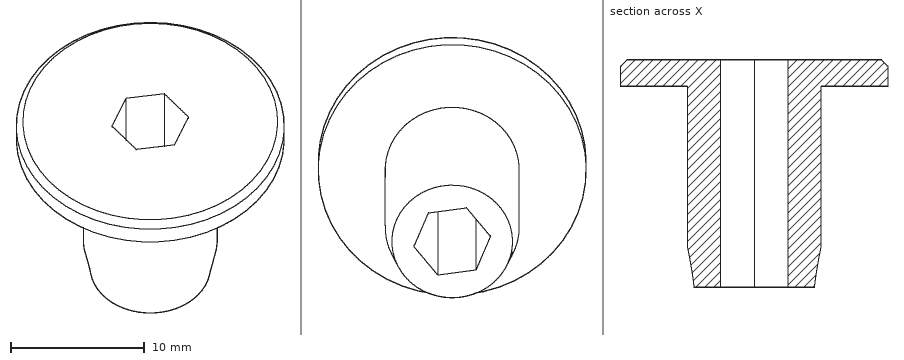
import cadquery as cq
import math

total_height = 17
head_diameter = 20
head_thickness = 2
head_chamfer = 0.5
shank_diameter = 10

tip_length = 3
tip_diameter = 9

hex_across_flats = 5
hex_across_corners = hex_across_flats / math.cos(math.radians(30))

shank_length = total_height - head_thickness
straight_length = shank_length - tip_length

head = (
    cq.Workplane("XY")
    .circle(head_diameter / 2)
    .extrude(head_thickness)
    .faces(">Z")
    .edges()
    .chamfer(head_chamfer)
)

shank = cq.Workplane("XY").circle(shank_diameter / 2).extrude(-straight_length)

tip = (
    cq.Workplane("XY")
    .workplane(offset=-straight_length)
    .circle(shank_diameter / 2)
    .workplane(offset=-tip_length)
    .circle(tip_diameter / 2)
    .loft(ruled=True)
)

hex_hole = (
    cq.Workplane("XY")
    .workplane(offset=-shank_length)
    .polygon(6, hex_across_corners)
    .extrude(total_height)
)

result = head.union(shank).union(tip).cut(hex_hole)